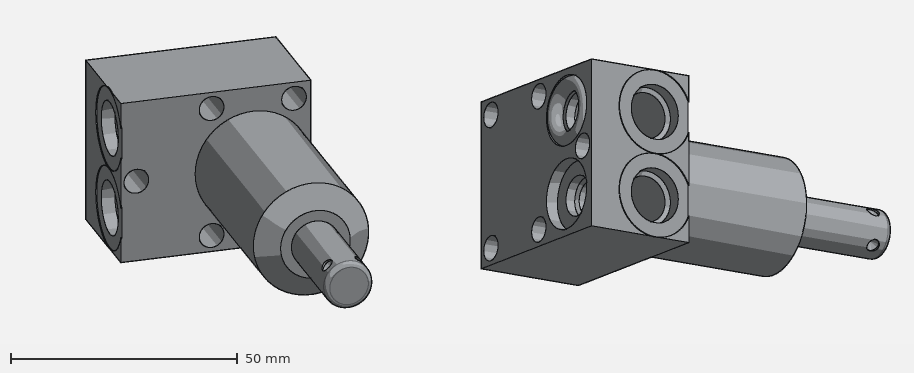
import cadquery as cq


block_length = 25.75
block_height = 38.1
block_width = 43.94
axis_to_back = 13.43
front_y = axis_to_back - block_width

barrel_diameter = 26.67
barrel_end_x = 68.4
nose_diameter = 16.1
nose_end_x = 71.6

rod_diameter = 11.11
rod_end_x = 96.25
rod_end_fillet = 1.1
dimple_diameter = 3.0
dimple_rim_depth = 0.5
dimple_cone_length = dimple_diameter / 2
dimple_x = rod_end_x - 4.0
dimple_angles = (45, 135, 225, 315)

mount_hole_diameter = 5.7
mount_pitch_y = 19.05
mount_pitch_z = 30.4
single_mount_hole_y = front_y + 3.6

channel_z = block_height / 4
channel_heights = (channel_z, -channel_z)

port_x = 16.9
spotface_diameter = 19.04
spotface_depth = 0.25
port_diameter = 12.45
port_step_depth = 3.4
port_cone_length = 0.6
port_inner_diameter = 10.4
port_depth = 17.0

gland_y = front_y + 9.95
gland_diameter = 16.0
gland_depth = 2.9
passage_diameter = 9.15
passage_step_depth = gland_depth + 2.3
passage_cone_length = 0.55
passage_inner_diameter = 7.25

ring_section = 3.5
ring_section_radius = ring_section / 2
ring_center_radius = gland_diameter / 2 - ring_section_radius
ring_center_x = gland_depth - ring_section_radius


def revolved_steps(profile):
    """Solid of revolution from the origin along +Y; profile lists (radius, distance along Y) points."""
    end_radius, end_distance = profile[-1]
    outline = [(0, 0), *profile]
    if end_radius > 0:
        outline.append((0, end_distance))
    return cq.Workplane("XY").polyline(outline).close().revolve(360, (0, 0, 0), (0, 1, 0))


def turned_along_x(solid):
    """Turn a solid that runs along +Y so that it runs along +X."""
    return solid.rotate((0, 0, 0), (0, 0, 1), -90)


def make_block():
    block = cq.Workplane("XY").box(block_length, block_width, block_height, centered=(False, False, True))
    return block.translate((0, front_y, 0))


def make_barrel():
    barrel = revolved_steps([
        (barrel_diameter / 2, 0),
        (barrel_diameter / 2, barrel_end_x - block_length),
        (nose_diameter / 2, nose_end_x - block_length),
    ])
    return turned_along_x(barrel).translate((block_length, 0, 0))


def dimple_cutter():
    """Drill-pointed cutter running from the +Y side of the rod towards its axis."""
    dimple = revolved_steps([
        (dimple_diameter / 2, 0),
        (dimple_diameter / 2, dimple_rim_depth),
        (0, dimple_rim_depth + dimple_cone_length),
    ])
    return dimple.rotate((0, 0, 0), (0, 0, 1), 180).translate((dimple_x, rod_diameter / 2, 0))


def make_rod():
    rod = cq.Workplane("YZ", origin=(nose_end_x, 0, 0)).circle(rod_diameter / 2).extrude(rod_end_x - nose_end_x)
    rod = rod.faces(">X").edges().fillet(rod_end_fillet)
    for angle in dimple_angles:
        rod = rod.cut(dimple_cutter().rotate((0, 0, 0), (1, 0, 0), angle))
    return rod


def mounting_holes():
    rows = (-mount_pitch_y / 2, mount_pitch_y / 2)
    levels = (-mount_pitch_z / 2, mount_pitch_z / 2)
    points = [(y, z) for y in rows for z in levels]
    points.append((single_mount_hole_y, 0))
    return cq.Workplane("YZ").pushPoints(points).circle(mount_hole_diameter / 2).extrude(block_length)


def port_cutter(z):
    cutter = revolved_steps([
        (spotface_diameter / 2, 0),
        (spotface_diameter / 2, spotface_depth),
        (port_diameter / 2, spotface_depth),
        (port_diameter / 2, port_step_depth),
        (port_inner_diameter / 2, port_step_depth + port_cone_length),
        (port_inner_diameter / 2, port_depth),
    ])
    return cutter.translate((port_x, front_y, z))


def gland_cutter(z):
    cutter = revolved_steps([
        (gland_diameter / 2, 0),
        (gland_diameter / 2, gland_depth),
        (passage_diameter / 2, gland_depth),
        (passage_diameter / 2, passage_step_depth),
        (passage_inner_diameter / 2, passage_step_depth + passage_cone_length),
        (passage_inner_diameter / 2, port_x),
    ])
    return turned_along_x(cutter).translate((0, gland_y, z))


def make_housing():
    housing = make_block().union(make_barrel()).union(make_rod())
    housing = housing.cut(mounting_holes())
    for z in channel_heights:
        housing = housing.cut(port_cutter(z))
        housing = housing.cut(gland_cutter(z))
    return housing


def make_o_ring():
    ring = cq.Solid.makeTorus(
        ring_center_radius,
        ring_section_radius,
        cq.Vector(ring_center_x, gland_y, channel_z),
        cq.Vector(1, 0, 0),
    )
    return cq.Workplane(obj=ring)


housing = make_housing()
o_ring = make_o_ring()

result = cq.Compound.makeCompound([housing.val(), o_ring.val()])